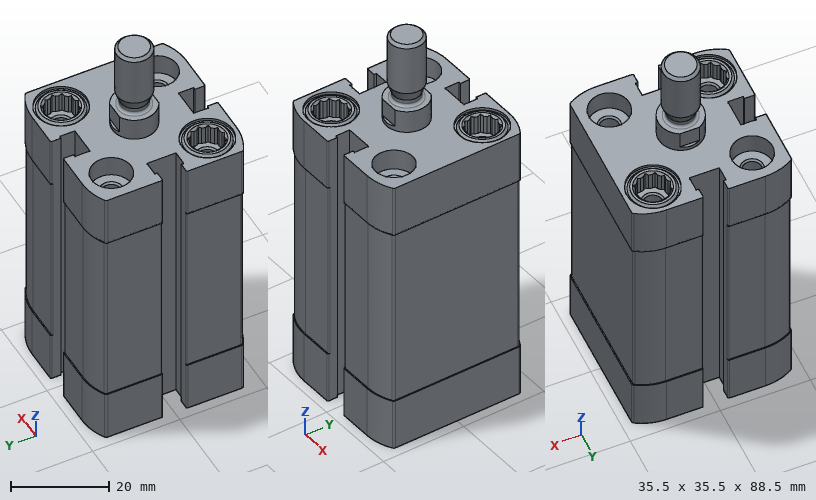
import cadquery as cq
import math

CAP_SIDE = 35.5
TUBE_INSET = 0.3
TUBE_SIDE = CAP_SIDE - 2 * TUBE_INSET
HOUSING_HEIGHT = 67.1
CAP_HEIGHT = 12.1

BOLT_SPACING = 22.0
BOLT_OFFSET = BOLT_SPACING / 2
CORNER_ARC_RADIUS = 12.4
CORNER_FILLET = 0.7

SLOT_MOUTH_WIDTH = 5.5
SLOT_MOUTH_DEPTH = 2.4
SLOT_WIDTH = 6.6
SLOT_DEPTH = 5.8
SLOT_MOUTH_FILLET = 0.3

BOLT_HOLE_DIAMETER = 4.2
BOLT_HOLE_RIM_DIAMETER = 5.0
COUNTERBORE_DIAMETER = 9.0
SEAT_DEPTH = 4.9
SEAT_Z = HOUSING_HEIGHT - SEAT_DEPTH

GROOVE_OUTER_DIAMETER = 11.5
INSERT_DIAMETER = 10.5
INSERT_TOP_DIAMETER = 9.5
GROOVE_DEPTH = 0.6
SOCKET_RIM_DIAMETER = 8.3
SOCKET_INNER_DIAMETER = 7.3
SOCKET_TOOTH_DIAMETER = 7.9
SOCKET_TEETH = 12
SOCKET_LAND_ANGLE = 13

COLLAR_DIAMETER = 10.0
COLLAR_HEIGHT = 5.3
FLATS_WIDTH = 9.0
FLATS_HEIGHT = 4.2
FLATS_RUNOUT = 0.3
NECK_DIAMETER = 6.2
NECK_BASE_DIAMETER = 7.5
NECK_HEIGHT = 1.5
THREAD_DIAMETER = 8
THREAD_START = 3.9
THREAD_CHAMFER = 0.66
TOTAL_HEIGHT = 88.5


def rounded_block(side, height):
    """Square block with its four vertical corners rounded by the wide arc and the small fillet."""
    half = side / 2
    radius = CORNER_ARC_RADIUS
    run = half - BOLT_OFFSET
    arc_centre_y = half - radius
    corner_y = arc_centre_y + math.sqrt(radius**2 - run**2)
    middle_angle = math.pi / 2 - math.asin(run / radius) / 2
    middle_x = BOLT_OFFSET + radius * math.cos(middle_angle)
    middle_y = arc_centre_y + radius * math.sin(middle_angle)
    block = (
        cq.Workplane("XY")
        .moveTo(-BOLT_OFFSET, half)
        .lineTo(BOLT_OFFSET, half)
        .threePointArc((middle_x, middle_y), (half, corner_y))
        .lineTo(half, -corner_y)
        .threePointArc((middle_x, -middle_y), (BOLT_OFFSET, -half))
        .lineTo(-BOLT_OFFSET, -half)
        .threePointArc((-middle_x, -middle_y), (-half, -corner_y))
        .lineTo(-half, corner_y)
        .threePointArc((-middle_x, middle_y), (-BOLT_OFFSET, half))
        .close()
        .extrude(height)
    )
    return block.edges("|Z").edges("<X or >X").fillet(CORNER_FILLET)


def t_slot(side, height):
    """Cutter for the slot in the -Y side of a block, with a rounded mouth."""
    face = -side / 2
    neck_end = -CAP_SIDE / 2 + SLOT_MOUTH_DEPTH
    bottom = -CAP_SIDE / 2 + SLOT_DEPTH
    half_mouth = SLOT_MOUTH_WIDTH / 2
    half_slot = SLOT_WIDTH / 2
    half_opening = half_mouth + SLOT_MOUTH_FILLET
    arc_end = face + SLOT_MOUTH_FILLET
    arc_rise = SLOT_MOUTH_FILLET * math.sqrt(0.5)
    arc_middle_x = half_opening - arc_rise
    arc_middle_y = arc_end - arc_rise
    return (
        cq.Workplane("XY")
        .moveTo(-half_opening, face)
        .lineTo(half_opening, face)
        .threePointArc((arc_middle_x, arc_middle_y), (half_mouth, arc_end))
        .lineTo(half_mouth, neck_end)
        .lineTo(half_slot, neck_end)
        .lineTo(half_slot, bottom)
        .lineTo(-half_slot, bottom)
        .lineTo(-half_slot, neck_end)
        .lineTo(-half_mouth, neck_end)
        .lineTo(-half_mouth, arc_end)
        .threePointArc((-arc_middle_x, arc_middle_y), (-half_opening, face))
        .close()
        .extrude(height)
    )


def slotted_block(side, height):
    """Rounded block with a T-slot in its -Y, -X and +Y sides."""
    block = rounded_block(side, height)
    for angle in (0, -90, 180):
        block = block.cut(t_slot(side, height).rotate((0, 0, 0), (0, 0, 1), angle))
    return block


def lathe(points):
    """Solid turned about Z from (radius, z) points."""
    return cq.Workplane("XZ").polyline(points).close().revolve(360, (0, 0), (0, 1))


def bolt_hole():
    """Through hole with a countersunk rim at the seat."""
    hole_radius = BOLT_HOLE_DIAMETER / 2
    rim_radius = BOLT_HOLE_RIM_DIAMETER / 2
    return lathe([
        (0, 0),
        (hole_radius, 0),
        (hole_radius, SEAT_Z - (rim_radius - hole_radius)),
        (rim_radius, SEAT_Z),
        (0, SEAT_Z),
    ])


def counterbore():
    """Plain cylindrical recess above the bolt hole seat."""
    return cq.Workplane("XY").workplane(offset=SEAT_Z).circle(COUNTERBORE_DIAMETER / 2).extrude(SEAT_DEPTH)


def polar(radius, degrees):
    """(x, y) of a point given by its radius and angle."""
    angle = math.radians(degrees)
    return (radius * math.cos(angle), radius * math.sin(angle))


def insert_groove():
    """Ring groove around an insert; its inner wall is the bevel of the insert."""
    floor_z = HOUSING_HEIGHT - GROOVE_DEPTH
    bevel = (INSERT_DIAMETER - INSERT_TOP_DIAMETER) / 2
    return lathe([
        (INSERT_DIAMETER / 2, floor_z),
        (GROOVE_OUTER_DIAMETER / 2, floor_z),
        (GROOVE_OUTER_DIAMETER / 2, HOUSING_HEIGHT),
        (INSERT_TOP_DIAMETER / 2, HOUSING_HEIGHT),
        (INSERT_DIAMETER / 2, HOUSING_HEIGHT - bevel),
    ])


def insert_socket():
    """Twelve-tooth socket with a countersunk rim."""
    pitch = 360 / SOCKET_TEETH
    outline = []
    for tooth in range(SOCKET_TEETH):
        groove_angle = tooth * pitch
        land_angle = groove_angle + pitch / 2
        outline.append(polar(SOCKET_TOOTH_DIAMETER / 2, groove_angle))
        outline.append(polar(SOCKET_INNER_DIAMETER / 2, land_angle - SOCKET_LAND_ANGLE / 2))
        outline.append(polar(SOCKET_INNER_DIAMETER / 2, land_angle + SOCKET_LAND_ANGLE / 2))
    socket = cq.Workplane("XY").workplane(offset=SEAT_Z).polyline(outline).close().extrude(SEAT_DEPTH)
    rim_radius = SOCKET_RIM_DIAMETER / 2
    countersink = lathe([
        (0, HOUSING_HEIGHT - rim_radius),
        (rim_radius, HOUSING_HEIGHT),
        (0, HOUSING_HEIGHT),
    ])
    return socket.union(countersink)


def make_housing():
    """Two caps and the tube between them, with slots, bolt holes, counterbores and inserts."""
    upper_cap_z = HOUSING_HEIGHT - CAP_HEIGHT
    tube_height = HOUSING_HEIGHT - 2 * CAP_HEIGHT
    cap = slotted_block(CAP_SIDE, CAP_HEIGHT)
    tube = slotted_block(TUBE_SIDE, tube_height).translate((0, 0, CAP_HEIGHT))
    body = cap.union(tube).union(cap.translate((0, 0, upper_cap_z)))

    for x_sign in (-1, 1):
        for y_sign in (-1, 1):
            place = (x_sign * BOLT_OFFSET, y_sign * BOLT_OFFSET, 0)
            body = body.cut(bolt_hole().translate(place))
            if x_sign == y_sign:
                body = body.cut(insert_groove().translate(place))
                body = body.cut(insert_socket().translate(place))
            else:
                body = body.cut(counterbore().translate(place))
    return body


def wrench_flat():
    """Cutter for the flat on the -Y side of the collar, with a sloped lower end."""
    collar_top = HOUSING_HEIGHT + COLLAR_HEIGHT
    flat_z = collar_top - FLATS_HEIGHT
    flat_y = -FLATS_WIDTH / 2
    outer_y = -COLLAR_DIAMETER / 2
    return (
        cq.Workplane("YZ")
        .polyline([
            (flat_y, collar_top),
            (flat_y, flat_z),
            (outer_y, flat_z - FLATS_RUNOUT),
            (outer_y, collar_top),
        ])
        .close()
        .extrude(COLLAR_DIAMETER / 2, both=True)
    )


def make_piston_rod():
    """Turned rod: collar with two flats, filleted neck, cone and chamfered thread."""
    collar_radius = COLLAR_DIAMETER / 2
    neck_radius = NECK_DIAMETER / 2
    neck_base_radius = NECK_BASE_DIAMETER / 2
    thread_radius = THREAD_DIAMETER / 2
    fillet_radius = neck_base_radius - neck_radius
    fillet_drop = fillet_radius * (1 - math.sqrt(0.5))
    collar_top = HOUSING_HEIGHT + COLLAR_HEIGHT
    rod = (
        cq.Workplane("XZ")
        .moveTo(0, HOUSING_HEIGHT)
        .lineTo(collar_radius, HOUSING_HEIGHT)
        .lineTo(collar_radius, collar_top)
        .lineTo(neck_base_radius, collar_top)
        .threePointArc(
            (neck_radius + fillet_drop, collar_top + fillet_drop),
            (neck_radius, collar_top + fillet_radius),
        )
        .lineTo(neck_radius, collar_top + NECK_HEIGHT)
        .lineTo(thread_radius, collar_top + THREAD_START)
        .lineTo(thread_radius, TOTAL_HEIGHT - THREAD_CHAMFER)
        .lineTo(thread_radius - THREAD_CHAMFER, TOTAL_HEIGHT)
        .lineTo(0, TOTAL_HEIGHT)
        .close()
        .revolve(360, (0, 0), (0, 1))
    )
    for angle in (0, 180):
        rod = rod.cut(wrench_flat().rotate((0, 0, 0), (0, 0, 1), angle))
    return rod


housing = make_housing()
piston_rod = make_piston_rod()

result = cq.Compound.makeCompound([housing.val(), piston_rod.val()])